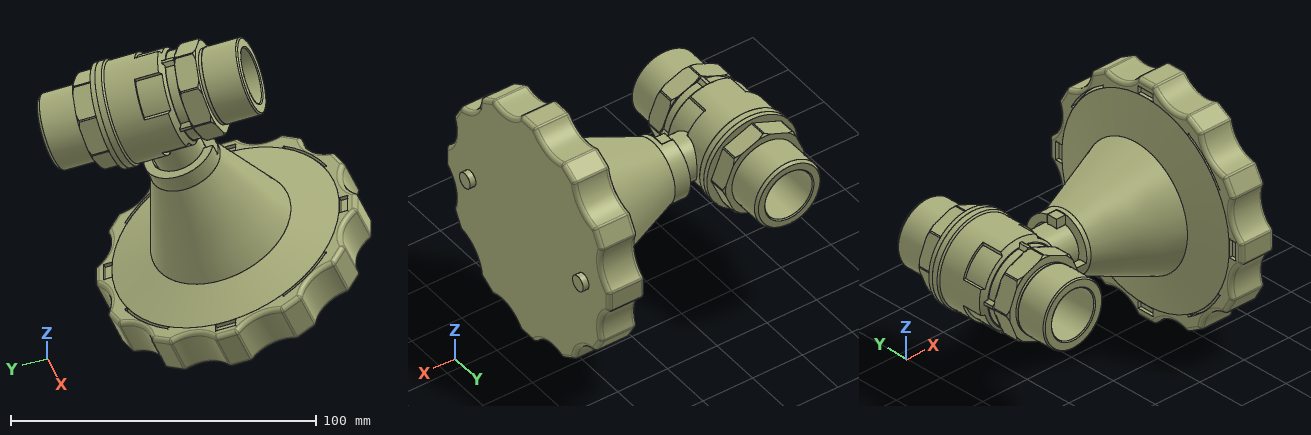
import cadquery as cq
import math


bore_diameter = 19.0
bore_chamfer = 0.4
pipe_diameter = 26.4
pipe_relief_diameter = 26.0
pipe_relief_length = 1.1
barrel_diameter = 35.3
collar_diameter = 36.6
tail_flange_diameter = 36.5
waist_diameter = 30.4
taper_end_diameter = 31.2

tail_end = 35.8
tail_chamfer_length = 1.1
tail_chamfer_depth = 0.8
tail_nut_end = 22.0
tail_nut_start = 14.9
joint = 13.2
collar_start = 10.9
collar_chamfer = 0.6
taper_start = -8.6
taper_end = -10.5
body_nut_end = -13.8
body_nut_start = -21.2
body_end = -34.9
body_end_chamfer = 0.5

nut_sides = 8
nut_flat_distance = 30.7
nut_corner_diameter = 33.0
nut_chamfer = 0.7

rib_count = 4
rib_base_width = 4.6
rib_top_width = 1.2
rib_start = -9.4
rib_root_depth = 1.0

recess_diameter = 33.3
recess_x = 8.0
recess_z = 5.0
recess_start = -9.8
recess_end = -0.2

neck_diameter = 17.0
stop_width = 4.2
stop_reach = 12.0
stop_start = 23.2

bonnet_start = 22.9
notch_end = 27.2
sleeve_end = 29.1
sleeve_diameter = 24.6
sleeve_bore_diameter = 18.3
cone_end = 60.8
cone_end_diameter = 49.5
bonnet_end_diameter = 80.0

wheel_start = 65.2
wheel_end = 79.9
wheel_width = 92.0
wheel_lobes = 12
lobe_flat_width = 7.8
scallop_bottom_radius = 42.5
lobe_corner_radius = 0.9
rim_radius = 1.5

window_count = 4
window_width = 7.1
window_height = 2.9
window_depth = 1.4
slot_width = 0.9
slot_depth = 2.5
slot_angle = 30.0

pin_diameter = 6.0
pin_spacing = 63.7
pin_end = 82.2
pin_seat_depth = 4.0


def turned_along_x(points, angle=360.0):
    """Revolve an outline of (x, radius) points about the X axis."""
    return cq.Workplane("XY").polyline(points).close().revolve(angle, (0, 0, 0), (1, 0, 0))


def turned_along_y(points):
    """Revolve an outline of (radius, y) points about the Y axis."""
    return cq.Workplane("XY").polyline(points).close().revolve(360, (0, 0, 0), (0, 1, 0))


def disc_along_y(diameter, start, end):
    return cq.Workplane("XZ", origin=(0, start, 0)).circle(diameter / 2).extrude(start - end)


def disc_along_x(diameter, start, end):
    return cq.Workplane("YZ", origin=(start, 0, 0)).circle(diameter / 2).extrude(end - start)


def box_between(x_range, y_range, z_range):
    size = [high - low for low, high in (x_range, y_range, z_range)]
    corner = (x_range[0], y_range[0], z_range[0])
    return cq.Workplane("XY", origin=corner).box(*size, centered=False)


def octagonal_nut(start, end):
    """Octagon with corners on the X and Z axes, turned down at the corners and chamfered at the ends."""
    corner_distance = nut_flat_distance / math.cos(math.pi / nut_sides)
    octagon = cq.Workplane("XZ", origin=(0, start, 0)).polygon(nut_sides, corner_distance)
    radius = nut_corner_diameter / 2
    envelope = turned_along_y([
        (0, start),
        (radius - nut_chamfer, start),
        (radius, start + nut_chamfer),
        (radius, end - nut_chamfer),
        (radius - nut_chamfer, end),
        (0, end),
    ])
    return octagon.extrude(start - end).intersect(envelope)


def waist_ribs():
    """Ribs with a trapezoid section standing out from the waist."""
    top = nut_corner_diameter / 2
    base = waist_diameter / 2 - rib_root_depth
    section = [
        (-rib_base_width / 2, base),
        (rib_base_width / 2, base),
        (rib_top_width / 2, top),
        (-rib_top_width / 2, top),
    ]
    rib = cq.Workplane("XZ", origin=(0, rib_start, 0)).polyline(section).close()
    rib = rib.extrude(rib_start - body_nut_end)
    return [rib.rotate((0, 0, 0), (0, 1, 0), i * 360 / rib_count) for i in range(rib_count)]


def barrel_recesses():
    """Boxes outside the recess floor: two corners on the -X side and one all across the neck side."""
    y_range = (recess_start, recess_end)
    reach = collar_diameter
    recesses = box_between((recess_x, reach), y_range, (-reach, reach))
    for z_range in ((recess_z, reach), (-reach, -recess_z)):
        recesses = recesses.union(box_between((-reach, -recess_x), y_range, z_range))
    return recesses.cut(disc_along_y(recess_diameter, *y_range))


def bore_cutter(mouth):
    """Bore from the joint to an outer end, with a chamfered mouth."""
    radius = bore_diameter / 2
    chamfer_end = mouth - math.copysign(bore_chamfer, mouth)
    return turned_along_y([
        (0, joint),
        (radius, joint),
        (radius, chamfer_end),
        (radius + bore_chamfer, mouth),
        (0, mouth),
    ])


def make_valve_body():
    pipe_radius = pipe_diameter / 2
    relief_radius = pipe_relief_diameter / 2
    relief_start = body_nut_start - pipe_relief_length
    waist_radius = waist_diameter / 2
    barrel_radius = barrel_diameter / 2
    collar_radius = collar_diameter / 2
    barrel = turned_along_y([
        (0, taper_end),
        (taper_end_diameter / 2, taper_end),
        (barrel_radius, taper_start),
        (barrel_radius, collar_start - collar_chamfer),
        (collar_radius, collar_start),
        (collar_radius, joint),
        (0, joint),
    ])
    spigot = turned_along_y([
        (0, body_end),
        (pipe_radius - body_end_chamfer, body_end),
        (pipe_radius, body_end + body_end_chamfer),
        (pipe_radius, relief_start),
        (relief_radius, relief_start),
        (relief_radius, body_nut_end),
        (waist_radius, body_nut_end),
        (waist_radius, taper_end),
        (0, taper_end),
    ])
    body = barrel.cut(barrel_recesses()).union(spigot)
    body = body.union(octagonal_nut(body_nut_start, body_nut_end))
    for rib in waist_ribs():
        body = body.union(rib)
    body = body.union(disc_along_x(neck_diameter, 0, sleeve_end))
    stop_block = box_between((stop_start, notch_end), (-stop_width / 2, stop_width / 2), (0, stop_reach))
    body = body.union(stop_block)
    return body.cut(bore_cutter(body_end))


def make_tail():
    pipe_radius = pipe_diameter / 2
    pipe = turned_along_y([
        (0, joint),
        (pipe_radius, joint),
        (pipe_radius, tail_end - tail_chamfer_length),
        (pipe_radius - tail_chamfer_depth, tail_end),
        (0, tail_end),
    ])
    tail = pipe.union(disc_along_y(tail_flange_diameter, joint, tail_nut_start))
    tail = tail.union(octagonal_nut(joint, tail_nut_end))
    return tail.cut(bore_cutter(tail_end))


def make_bonnet():
    """Flared bonnet whose sleeve is notched for a quarter turn past the stop block."""
    sleeve_radius = sleeve_diameter / 2
    bonnet = turned_along_x([
        (bonnet_start, 0),
        (bonnet_start, sleeve_radius),
        (sleeve_end, sleeve_radius),
        (cone_end, cone_end_diameter / 2),
        (wheel_start, bonnet_end_diameter / 2),
        (wheel_start, 0),
    ])
    notch_edge = stop_width / 2
    notch = box_between(
        (bonnet_start, notch_end),
        (-sleeve_diameter, notch_edge),
        (-notch_edge, sleeve_diameter),
    )
    sleeve_bore = disc_along_x(sleeve_bore_diameter, bonnet_start, notch_end)
    neck_seat = disc_along_x(neck_diameter, notch_end, sleeve_end)
    return bonnet.cut(notch).cut(sleeve_bore).cut(neck_seat)


def polar(radius, angle):
    return (radius * math.cos(angle), radius * math.sin(angle))


def wheel_blank():
    """Disc with flat-topped lobes joined by concave scallops and with rounded edges."""
    pitch = 2 * math.pi / wheel_lobes
    corner_radius = math.hypot(wheel_width / 2, lobe_flat_width / 2)
    corner_angle = math.atan2(lobe_flat_width, wheel_width)
    outline = cq.Workplane("YZ", origin=(wheel_start, 0, 0)).moveTo(*polar(corner_radius, -corner_angle))
    for i in range(wheel_lobes):
        middle = i * pitch
        outline = outline.lineTo(*polar(corner_radius, middle + corner_angle))
        outline = outline.threePointArc(
            polar(scallop_bottom_radius, middle + pitch / 2),
            polar(corner_radius, middle + pitch - corner_angle),
        )
    blank = outline.close().extrude(wheel_end - wheel_start)
    blank = blank.edges("|X").fillet(lobe_corner_radius)
    return blank.faces("<X or >X").edges().fillet(rim_radius)


def wheel_window(angle):
    """Shallow rectangular recess just outside the bonnet."""
    inner = bonnet_end_diameter / 2
    window = box_between(
        (wheel_start, wheel_start + window_depth),
        (-window_width / 2, window_width / 2),
        (inner, inner + window_height),
    )
    return window.rotate((0, 0, 0), (1, 0, 0), angle)


def wheel_slot(angle):
    """Curved slot beside the bonnet, with a sloping inner wall."""
    inner = bonnet_end_diameter / 2
    slot = turned_along_x(
        [
            (wheel_start, inner),
            (wheel_start, inner + slot_width),
            (wheel_start + slot_depth, inner + slot_width),
        ],
        slot_angle,
    )
    return slot.rotate((0, 0, 0), (1, 0, 0), angle - slot_angle / 2)


def make_pin(y):
    pin = disc_along_x(pin_diameter, wheel_end - pin_seat_depth, pin_end)
    return pin.translate((0, y, 0))


def make_wheel(pins):
    wheel = wheel_blank()
    spacing = 360 / window_count
    for i in range(window_count):
        wheel = wheel.cut(wheel_window(i * spacing))
        wheel = wheel.cut(wheel_slot((i + 0.5) * spacing))
    for pin in pins:
        wheel = wheel.cut(pin)
    return wheel


valve_body = make_valve_body()
tail = make_tail()
bonnet = make_bonnet()
pins = [make_pin(side * pin_spacing / 2) for side in (-1, 1)]
wheel = make_wheel(pins)

result = cq.Compound.makeCompound([
    valve_body.val(),
    tail.val(),
    bonnet.val(),
    wheel.val(),
    *[pin.val() for pin in pins],
])